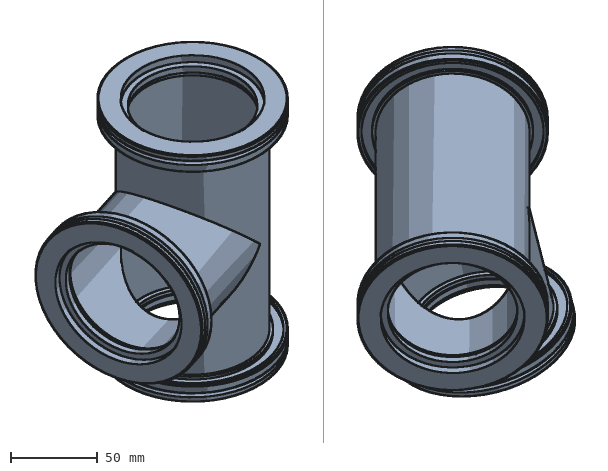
import cadquery as cq

port_reach = 89.0

tube_diameter = 88.8
tube_bore = 82.8

flange_diameter = 110.0
flange_thickness = 12.1
rim_chamfer = 0.7
rim_groove_radius = 1.5
rim_groove_depth_from_face = 5.2
seat_diameter = 83.0
seat_depth = 5.0
lip_bore = 74.8
lip_relief_diameter = 76.4
lip_relief_length = 2.7
back_groove_inner_diameter = 93.0
back_groove_outer_diameter = 105.0
back_groove_depth = 2.0

flange_back = port_reach - flange_thickness
tube_reach = flange_back


def cylinder(diameter, start, length):
    """Solid cylinder on the Z axis."""
    return cq.Workplane("XY").workplane(offset=start).circle(diameter / 2).extrude(length)


def make_flange():
    """Flange with its sealing face at the top, at Z = port_reach."""
    flange = cylinder(flange_diameter, flange_back, flange_thickness).edges().chamfer(rim_chamfer)

    groove_height = port_reach - rim_groove_depth_from_face
    rim_groove = cq.Workplane(cq.Solid.makeTorus(
        flange_diameter / 2, rim_groove_radius, cq.Vector(0, 0, groove_height)))
    flange = flange.cut(rim_groove)

    back_groove = (
        cq.Workplane("XY").workplane(offset=flange_back)
        .circle(back_groove_outer_diameter / 2)
        .circle(back_groove_inner_diameter / 2)
        .extrude(back_groove_depth)
    )
    flange = flange.cut(back_groove)

    flange = flange.cut(cylinder(lip_bore, flange_back, flange_thickness))
    flange = flange.cut(cylinder(seat_diameter, port_reach - seat_depth, seat_depth))
    return flange.cut(cylinder(lip_relief_diameter, flange_back, lip_relief_length))


def toward_branch(body):
    """Turn a body from the +Z direction to the -Y direction."""
    return body.rotate((0, 0, 0), (1, 0, 0), 90)


def make_mitre_wedge():
    """Right-angled wedge opening toward -Y, bounded by the two 45-degree mitre planes."""
    return (
        cq.Workplane("YZ")
        .polyline([(0, 0), (-port_reach, port_reach), (-port_reach, -port_reach)]).close()
        .extrude(tube_diameter, both=True)
    )


def make_run_tube():
    """Straight tube with a V-shaped mitre notch for the branch."""
    tube = cylinder(tube_diameter, -tube_reach, 2 * tube_reach)
    tube = tube.cut(cylinder(tube_bore, -tube_reach, 2 * tube_reach))
    return tube.cut(make_mitre_wedge())


def make_branch_tube():
    """Side tube whose pointed inner end fills the mitre notch."""
    tube = cylinder(tube_diameter, 0, tube_reach).cut(cylinder(tube_bore, 0, tube_reach))
    return toward_branch(tube).intersect(make_mitre_wedge())


run_tube = make_run_tube()
branch_tube = make_branch_tube()

flanges = []
for port_angle in (0, 90, 180):
    flanges.append(make_flange().rotate((0, 0, 0), (1, 0, 0), port_angle))

result = cq.Compound.makeCompound([
    run_tube.val(),
    branch_tube.val(),
    *[flange.val() for flange in flanges],
])